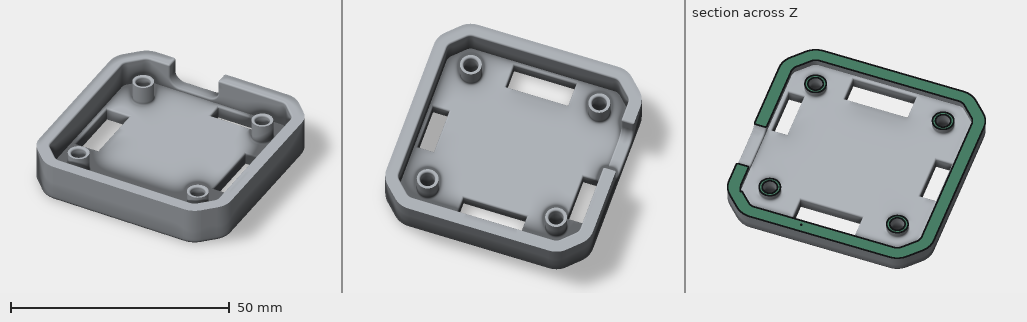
import cadquery as cq
import math

body_side = 49.9
body_height = 9.5
corner_cut = 5.8
corner_radius = 5.2
bottom_edge_radius = 1.0

wall = 3.05
floor_thickness = 3.0

edge_radius = 0.4

post_spacing = 31.0
post_diameter = 5.0
post_bore = 3.4
post_height = 4.9

notch_left = -12.1
notch_right = 0.5
notch_bottom = 3.7
notch_corner_radius = 2.5

floor_openings = [
    (-20.9, -15.1, -6.9, 8.1),
    (15.0, 21.0, -7.0, 8.3),
    (1.1, 12.5, 17.2, 20.9),
    (-5.0, 6.0, -21.1, -17.2),
]

half_side = body_side / 2
cavity_half_side = half_side - wall
cavity_depth = body_height - floor_thickness
pick_margin = 0.05


def cut_corner_prism(inset, base_z, height):
    """Prism on the body outline moved inwards by the inset."""
    side = body_side - 2 * inset
    cut = corner_cut - inset * (2 - math.sqrt(2))
    return (
        cq.Workplane("XY")
        .workplane(offset=base_z)
        .rect(side, side)
        .extrude(height)
        .edges("|Z")
        .chamfer(cut)
        .edges("|Z")
        .fillet(corner_radius - inset)
    )


def make_tray():
    """Open tray with a rounded lower outside edge."""
    body = cut_corner_prism(0, 0, body_height).faces("<Z").edges().fillet(bottom_edge_radius)
    return body.cut(cut_corner_prism(wall, floor_thickness, cavity_depth))


def cut_notch(tray):
    """Cut the open-topped notch, then round the cavity rim together with the notch edges."""
    notch = (
        cq.Workplane("XY")
        .box(notch_right - notch_left, wall, body_height - notch_bottom, centered=False)
        .edges("|Y and <Z")
        .fillet(notch_corner_radius)
        .translate((notch_left, cavity_half_side, notch_bottom))
    )
    notched = tray.cut(notch)
    rim_reach = cavity_half_side + pick_margin
    rim_edges = notched.edges(
        cq.selectors.BoxSelector(
            (-rim_reach, -rim_reach, body_height - pick_margin),
            (rim_reach, rim_reach, body_height + pick_margin),
        )
    )
    notch_edges = notched.edges(
        cq.selectors.BoxSelector(
            (notch_left - pick_margin, cavity_half_side - pick_margin, notch_bottom - pick_margin),
            (notch_right + pick_margin, half_side + pick_margin, body_height + pick_margin),
        )
    )
    outline_edges = notch_edges.edges("not |Y")
    shoulder_edges = notch_edges.edges("|Y").edges(">Z")
    picked = rim_edges.vals() + outline_edges.vals() + shoulder_edges.vals()
    return notched.newObject(picked).fillet(edge_radius)


def cut_floor_opening(tray, x_min, x_max, y_min, y_max):
    """Cut a rectangular opening through the floor and round its upper edge."""
    opening = (
        cq.Workplane("XY")
        .box(x_max - x_min, y_max - y_min, floor_thickness, centered=False)
        .translate((x_min, y_min, 0))
    )
    upper_edge = cq.selectors.BoxSelector(
        (x_min - pick_margin, y_min - pick_margin, floor_thickness - pick_margin),
        (x_max + pick_margin, y_max + pick_margin, floor_thickness + pick_margin),
    )
    return tray.cut(opening).edges(upper_edge).fillet(edge_radius)


def add_post(tray, x, y):
    """Add a post with a fillet at its foot, a rounded bore mouth and a bore through the floor."""
    post = (
        cq.Workplane("XY")
        .workplane(offset=floor_thickness)
        .center(x, y)
        .circle(post_diameter / 2)
        .extrude(post_height)
    )
    bore = (
        cq.Workplane("XY")
        .center(x, y)
        .circle(post_bore / 2)
        .extrude(floor_thickness + post_height)
    )
    reach = post_diameter / 2
    foot = cq.selectors.BoxSelector(
        (x - reach, y - reach, floor_thickness - pick_margin),
        (x + reach, y + reach, floor_thickness + pick_margin),
    )
    mouth = cq.selectors.BoxSelector(
        (x - reach, y - reach, floor_thickness + post_height - pick_margin),
        (x + reach, y + reach, floor_thickness + post_height + pick_margin),
    )
    filleted = tray.union(post).edges(foot).fillet(edge_radius)
    return filleted.cut(bore).edges(mouth).edges(cq.selectors.RadiusNthSelector(0)).fillet(edge_radius)


tray = cut_notch(make_tray())
for opening_limits in floor_openings:
    tray = cut_floor_opening(tray, *opening_limits)
for x_side in (-1, 1):
    for y_side in (-1, 1):
        tray = add_post(tray, x_side * post_spacing / 2, y_side * post_spacing / 2)

result = tray